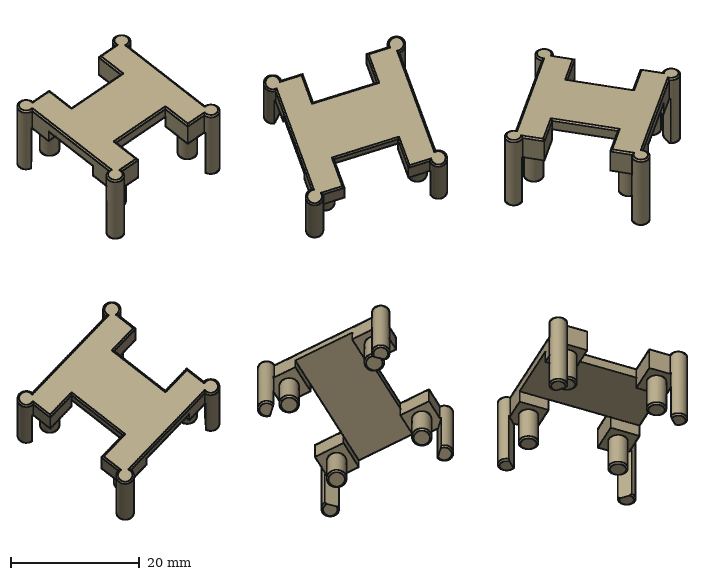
import cadquery as cq
import math

overall_width = 23.12
overall_height = 13.35
edge_chamfer = 0.28

leg_diameter = 2.8
leg_offset = (overall_width - leg_diameter) / 2
leg_flat_distance = 0.8

plate_thickness = 2.0
plate_width = 2 * leg_offset
web_width = 10.13
notch_length = 10.5
block_drop = 2.15
block_width = (plate_width - web_width) / 2
block_length = (plate_width - notch_length) / 2

pin_diameter = 3.1
pin_offset = 7.58
pin_drop = 5.83

plate_bottom = overall_height - plate_thickness
block_bottom = plate_bottom - block_drop
pin_bottom = block_bottom - pin_drop


def at_four_corners(offset_x, offset_y, z):
    """Workplane with a point in each quadrant, symmetric about X and Y."""
    return cq.Workplane("XY", origin=(0, 0, z)).rect(2 * offset_x, 2 * offset_y, forConstruction=True).vertices()


def make_plate():
    """H-shaped plate with a notch in each X side and a chamfered top rim."""
    half_plate = plate_width / 2
    half_web = web_width / 2
    half_notch = notch_length / 2
    right_side = [
        (half_plate, -half_plate),
        (half_plate, -half_notch),
        (half_web, -half_notch),
        (half_web, half_notch),
        (half_plate, half_notch),
        (half_plate, half_plate),
    ]
    left_side = [(-x, -y) for x, y in right_side]
    outline = cq.Workplane("XY", origin=(0, 0, plate_bottom)).polyline(right_side + left_side).close()
    return outline.extrude(plate_thickness).faces(">Z").chamfer(edge_chamfer)


def make_blocks():
    """Blocks flush with the outer edges of the plate arms."""
    center_x = (plate_width - block_width) / 2
    center_y = (plate_width - block_length) / 2
    return at_four_corners(center_x, center_y, block_bottom).rect(block_width, block_length).extrude(block_drop)


def make_legs():
    """Full-height corner legs, chamfered at both ends, with an inner flat below the blocks."""
    legs = at_four_corners(leg_offset, leg_offset, 0).circle(leg_diameter / 2).extrude(overall_height)
    legs = legs.faces("<Z or >Z").chamfer(edge_chamfer)
    flat_half_span = leg_offset * math.sqrt(2) - leg_flat_distance
    clearance = cq.Workplane("XY").rect(2 * flat_half_span, 2 * flat_half_span).extrude(block_bottom)
    return legs.cut(clearance.rotate((0, 0, 0), (0, 0, 1), 45))


def make_pins():
    """Short pins under the blocks, chamfered at the lower end."""
    pins = at_four_corners(pin_offset, pin_offset, pin_bottom).circle(pin_diameter / 2).extrude(pin_drop)
    return pins.faces("<Z").chamfer(edge_chamfer)


result = make_plate().union(make_blocks()).union(make_legs()).union(make_pins())